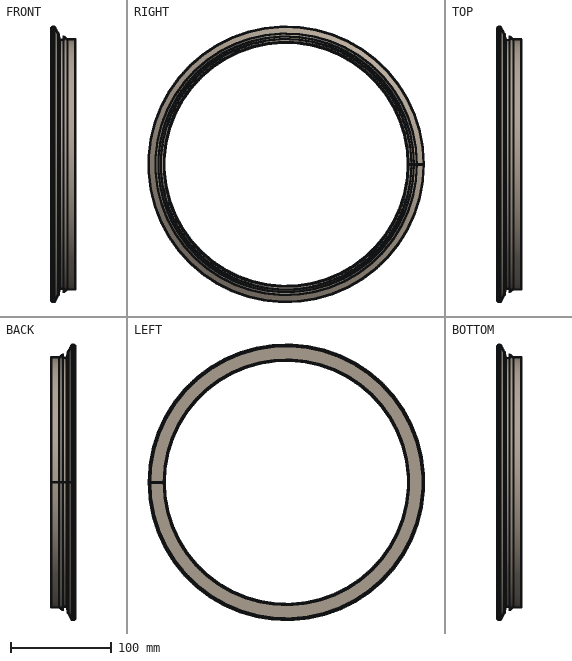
import cadquery as cq
import math

width = 24.0
outer_radius = 275.0 / 2

mouth_radius = 122.5
mouth_bevel_end_x = 1.6
mouth_bevel_end_radius = 121.8
throat_x = 8.0
throat_radius = 121.4
rear_bore_radius = 122.2

face_radius = 135.9
crest_x = 2.4
crest_end_x = 3.4
crest_end_radius = 137.2
foot_start_x = 6.9
foot_start_radius = 130.5
foot_end_x = 7.7
foot_end_radius = 129.3

wall_end_x = 8.2
wall_end_radius = 125.2
groove_start_x = 8.9
groove_radius = 124.4

barb_x = 12.4
barb_radius = 127.6
barb_end_x = 16.4
barb_end_radius = 124.3

band_radius = 125.1
band_round = 0.8

split_gap = 0.5


def tangent_radius(run, drop):
    """Radius of an arc that ends parallel to the axis after this run and drop."""
    return (run**2 + drop**2) / (2 * drop)


def make_ring():
    """Revolve the half section, drawn as (X, radius), about the X axis."""
    rim_round = tangent_radius(crest_x, outer_radius - face_radius)
    foot_chord = math.hypot(foot_end_x - foot_start_x, foot_start_radius - foot_end_radius)
    root_chord = math.hypot(groove_start_x - wall_end_x, wall_end_radius - groove_radius)
    section = (
        cq.Workplane("XY")
        .moveTo(0, mouth_radius)
        .lineTo(0, face_radius)
        .radiusArc((crest_x, outer_radius), rim_round)
        .lineTo(crest_end_x, crest_end_radius)
        .lineTo(foot_start_x, foot_start_radius)
        .radiusArc((foot_end_x, foot_end_radius), foot_chord)
        .lineTo(wall_end_x, wall_end_radius)
        .radiusArc((groove_start_x, groove_radius), -root_chord)
        .lineTo(barb_x, groove_radius)
        .lineTo(barb_x, barb_radius)
        .lineTo(barb_end_x, barb_end_radius)
        .radiusArc((barb_end_x + band_round, band_radius), band_round)
        .lineTo(width - band_round, band_radius)
        .radiusArc((width, band_radius - band_round), band_round)
        .lineTo(width, rear_bore_radius)
        .lineTo(throat_x, throat_radius)
        .lineTo(mouth_bevel_end_x, mouth_bevel_end_radius)
        .close()
    )
    return section.revolve(360, (0, 0, 0), (1, 0, 0))


def make_split():
    """Thin slab that cuts the ring open at Z = 0 on the +Y side."""
    return cq.Workplane("XY").box(width, outer_radius, split_gap, centered=(False, False, True))


result = make_ring().cut(make_split())